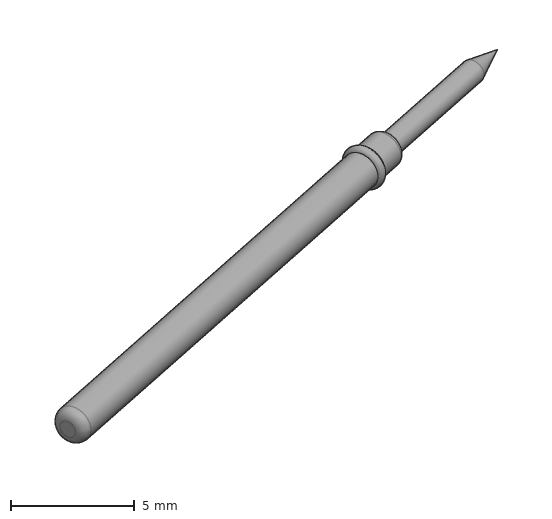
import cadquery as cq
import math


total_length = 32.3
tip_y = 10.05
tail_y = tip_y - total_length

plunger_radius = 0.525
tip_length = 1.85

barrel_radius = 0.825
barrel_front_y = 1.75
front_rounding = 0.25
tail_rounding = 0.45

ring_outer_radius = 1.0
bead_radius = 0.25

DIAGONAL = math.sqrt(0.5)


def revolve_about_y(profile):
    """Turn a closed half profile, drawn in XY, around the Y axis."""
    return profile.close().revolve(360, (0, 0, 0), (0, 1, 0))


def make_plunger():
    """Round rod with a sharp conical tip, starting inside the barrel."""
    profile = (
        cq.Workplane("XY")
        .moveTo(0, 0)
        .lineTo(plunger_radius, 0)
        .lineTo(plunger_radius, tip_y - tip_length)
        .lineTo(0, tip_y)
    )
    return revolve_about_y(profile)


def make_barrel():
    """Solid barrel with rounded front and tail rims."""
    tail_center = (barrel_radius - tail_rounding, tail_y + tail_rounding)
    front_center = (barrel_radius - front_rounding, barrel_front_y - front_rounding)
    tail_reach = tail_rounding * DIAGONAL
    front_reach = front_rounding * DIAGONAL
    profile = (
        cq.Workplane("XY")
        .moveTo(0, tail_y)
        .lineTo(tail_center[0], tail_y)
        .threePointArc(
            (tail_center[0] + tail_reach, tail_center[1] - tail_reach),
            (barrel_radius, tail_center[1]),
        )
        .lineTo(barrel_radius, front_center[1])
        .threePointArc(
            (front_center[0] + front_reach, front_center[1] + front_reach),
            (front_center[0], barrel_front_y),
        )
        .lineTo(0, barrel_front_y)
    )
    return revolve_about_y(profile)


def make_press_ring():
    """Bead whose circular section is centered inside the barrel wall."""
    bead_center = ring_outer_radius - bead_radius
    profile = (
        cq.Workplane("XY")
        .moveTo(bead_center, -bead_radius)
        .threePointArc((ring_outer_radius, 0), (bead_center, bead_radius))
    )
    return revolve_about_y(profile)


result = make_barrel().union(make_press_ring()).union(make_plunger())